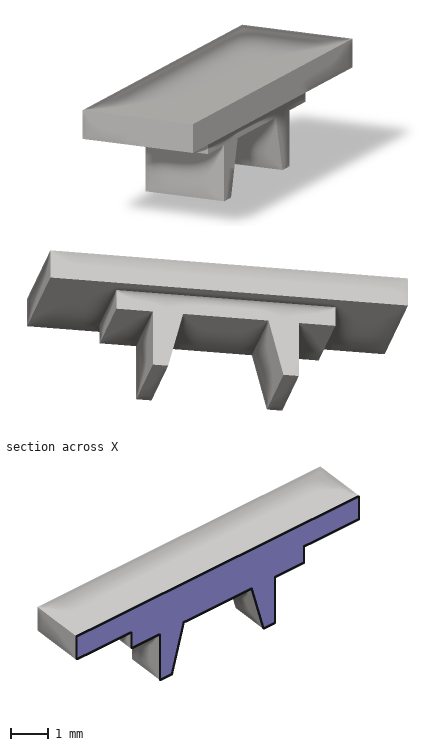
import cadquery as cq

plate_width = 3.3
plate_length = 9.8
plate_thickness = 0.8

pad_width = 2.35
pad_length = 6.0
pad_thickness = 0.55

total_height = 2.91
leg_height = total_height - plate_thickness - pad_thickness
leg_outer_span = 4.0
leg_root_thickness = 0.83
leg_tip_thickness = 0.42

pad_bottom = -pad_thickness
leg_bottom = pad_bottom - leg_height


def make_plate():
    return cq.Workplane("XY").rect(plate_width, plate_length).extrude(plate_thickness)


def make_pad():
    return cq.Workplane("XY").rect(pad_width, pad_length).extrude(-pad_thickness)


def make_leg(side):
    """Leg with a vertical outer face and a sloped inner face; side is -1 or +1 along Y."""
    outer = leg_outer_span / 2
    profile = [
        (side * outer, pad_bottom),
        (side * outer, leg_bottom),
        (side * (outer - leg_tip_thickness), leg_bottom),
        (side * (outer - leg_root_thickness), pad_bottom),
    ]
    return cq.Workplane("YZ").polyline(profile).close().extrude(pad_width / 2, both=True)


result = make_plate().union(make_pad())
for leg_side in (-1, 1):
    result = result.union(make_leg(leg_side))